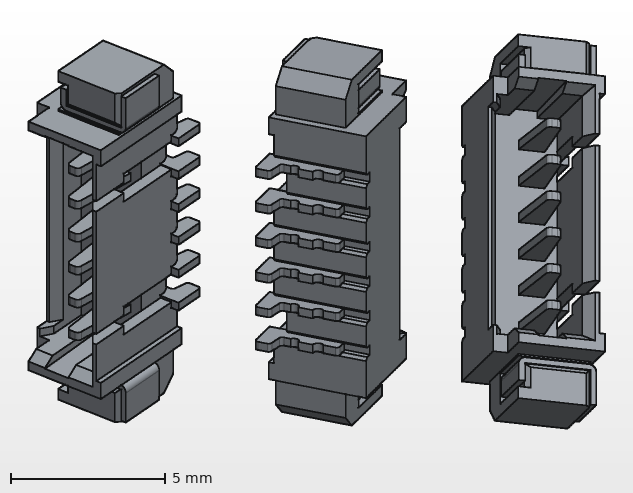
import cadquery as cq


body_width = 3.45
body_depth = 4.31
body_length = 9.44
body_half = body_length / 2
overall_half = 6.24
overall_width = 3.55
overall_depth = 5.21
end_block = 0.61
side_recess = 0.19

low_wall = 0.37
low_wall_rim = 0.117
high_wall_inner = 2.82
cavity_half = body_half - end_block
cavity_floor = 2.99
mouth_flare_depth = 0.41
mouth_flare_ends = 0.27
mouth_flare_side = 0.3
end_wall_start = 0.5
ledge_depth = 1.11
low_wall_depth = 1.62
low_wall_half = 3.82

channel_left = 1.17
channel_right = 2.13
channel_half_mouth = 4.41
channel_half_floor = 4.34

window_offset = 2.52
slot_length = 0.4
window_length = 1.06
window_start = 1.47

pin_count = 6
pin_pitch = 1.25
pin_thickness = 0.3
pin_tip = 0.52
pin_base_left = 1.5
pin_base_right = 2.38
pin_tip_left = 1.67
pin_tip_right = 2.13
pin_tip_round = 0.15

groove_width = 0.34
groove_floor = 4.02
groove_flare = 0.1

tail_left = 0.86
tail_step = 4.58
tail_pad = 4.69
tail_valley = 4.5
tail_foot_left = 2.99
tail_foot_lean = 0.07
tail_pad_left = 1.72
tail_pad_right = 2.23
tail_valley_offset = 0.16
tail_valley_width = 0.32
tail_round = 0.11

tab_left = 0.86
tab_right = 3.34
tab_height = overall_half - body_half
tab_front = ledge_depth
tab_rear = 4.02
tab_chamfer = 0.5
tab_lead_in = 0.16

clip_left = 0.9
clip_thickness = 0.19
clip_front = 1.2
clip_rear = 2.98
clip_base = 0.06
clip_round = 0.24
clip_left_height = 0.86
clip_right_height = 1.43
slot_height = 1.11
core_left = 1.12
core_base = clip_base + clip_thickness


def box(x0, x1, y0, y1, z0, z1):
    return cq.Workplane("XY").box(x1 - x0, y1 - y0, z1 - z0, centered=False).translate((x0, y0, z0))


def prism_z(points, z0, z1):
    return cq.Workplane("XY", origin=(0, 0, z0)).polyline(points).close().extrude(z1 - z0)


def prism_x(points, x0, x1):
    return cq.Workplane("YZ", origin=(x0, 0, 0)).polyline(points).close().extrude(x1 - x0)


def mirrored(shape):
    return shape.union(shape.mirror("XY"))


def mouth_flare():
    mouth_right = high_wall_inner + mouth_flare_side
    mouth_half = cavity_half + mouth_flare_ends
    mouth = cq.Workplane("XZ").moveTo(mouth_right / 2, 0).rect(mouth_right, 2 * mouth_half)
    inner = mouth.workplane(offset=-mouth_flare_depth).moveTo(high_wall_inner / 2, 0)
    return inner.rect(high_wall_inner, 2 * cavity_half).loft(ruled=True)


def low_wall_lead_in(wall_depth, half_length):
    wedge = [
        (low_wall_rim, wall_depth),
        (low_wall, wall_depth),
        (low_wall, wall_depth + mouth_flare_depth),
    ]
    return prism_z(wedge, -half_length, half_length)


def housing():
    body = box(0, body_width, 0, body_depth, -body_half, body_half)
    recess_x = body_width - side_recess
    body = body.cut(box(recess_x, body_width, 0, body_depth, -cavity_half, cavity_half))

    body = body.cut(box(low_wall, high_wall_inner, 0, cavity_floor, -cavity_half, cavity_half))
    body = body.cut(mouth_flare())
    body = body.cut(box(0, end_wall_start, 0, ledge_depth, -body_half, body_half))
    body = body.cut(box(0, low_wall, 0, low_wall_depth, -low_wall_half, low_wall_half))
    body = body.cut(low_wall_lead_in(ledge_depth, cavity_half))
    body = body.cut(low_wall_lead_in(low_wall_depth, low_wall_half))

    channels = [
        (0, -channel_half_mouth),
        (0, channel_half_mouth),
        (cavity_floor, channel_half_floor),
        (cavity_floor, -channel_half_floor),
    ]
    body = body.cut(prism_x(channels, channel_left, channel_right))

    for centre in (-window_offset, window_offset):
        slot = slot_length / 2
        window = window_length / 2
        body = body.cut(box(high_wall_inner, body_width, 0, cavity_floor, centre - slot, centre + slot))
        body = body.cut(
            box(high_wall_inner, body_width, window_start, body_depth, centre - window, centre + window)
        )
    return body


def groove():
    half = groove_width / 2
    flare_start = body_depth - groove_flare
    outline = [
        (groove_floor, -half),
        (flare_start, -half),
        (body_depth, -half - groove_flare),
        (body_depth, half + groove_flare),
        (flare_start, half),
        (groove_floor, half),
    ]
    return prism_x(outline, 0, body_width)


def contact():
    z0 = -pin_thickness / 2
    z1 = pin_thickness / 2
    blade = prism_z(
        [
            (pin_base_left, cavity_floor),
            (pin_tip_left, pin_tip),
            (pin_tip_right, pin_tip),
            (pin_base_right, cavity_floor),
        ],
        z0, z1,
    )
    blade = blade.edges("|Z").edges("<Y").fillet(pin_tip_round)
    shank = box(pin_base_left, pin_base_right, cavity_floor, groove_floor, z0, z1)
    return blade.union(shank).union(solder_tail(z0))


def solder_tail(z0):
    foot_root = tail_foot_left - tail_foot_lean
    tail = (
        cq.Workplane("XY", origin=(0, 0, z0))
        .moveTo(tail_left + tail_round, groove_floor)
        .lineTo(overall_width, groove_floor)
        .lineTo(overall_width, overall_depth - tail_round)
        .radiusArc((overall_width - tail_round, overall_depth), -tail_round)
        .lineTo(tail_foot_left + tail_round, overall_depth)
        .radiusArc((tail_foot_left, overall_depth - tail_round), -tail_round)
        .lineTo(foot_root, tail_step + tail_round)
        .radiusArc((foot_root - tail_round, tail_step), tail_round)
        .lineTo(tail_pad_right + tail_valley_width, tail_step)
        .threePointArc((tail_pad_right + tail_valley_offset, tail_valley), (tail_pad_right, tail_pad))
        .lineTo(tail_pad_left, tail_pad)
        .threePointArc(
            (tail_pad_left - tail_valley_offset, tail_valley),
            (tail_pad_left - tail_valley_width, tail_step),
        )
        .lineTo(tail_left + tail_round, tail_step)
        .radiusArc((tail_left, tail_step - tail_round), -tail_round)
        .lineTo(tail_left, groove_floor + tail_round)
        .radiusArc((tail_left + tail_round, groove_floor), -tail_round)
        .close()
        .extrude(pin_thickness)
    )
    return tail


def tab():
    top = tab_height
    outline = [
        (tab_front, 0),
        (tab_front, top),
        (tab_rear - tab_chamfer, top),
        (tab_rear, top - tab_chamfer),
        (tab_rear, 0),
    ]
    block = prism_x(outline, tab_left, tab_right)
    block = block.cut(box(tab_left, tab_right, tab_front, clip_rear, clip_base, core_base))
    block = block.cut(box(tab_left, core_left, tab_front, clip_rear, clip_base, slot_height))

    lead_end = tab_front + tab_lead_in
    left = [(core_left, tab_front), (core_left + tab_lead_in, tab_front), (core_left, lead_end)]
    right = [(tab_right, tab_front), (tab_right - tab_lead_in, tab_front), (tab_right, lead_end)]
    base = [(tab_front, core_base), (tab_front, core_base + tab_lead_in), (lead_end, core_base)]
    block = block.cut(prism_z(left, clip_base, slot_height))
    block = block.cut(prism_z(right, clip_base, top))
    return block.cut(prism_x(base, core_left, tab_right))


def clip():
    long_arm = overall_width - clip_thickness
    outline = [
        (clip_left, clip_left_height),
        (clip_left, clip_base),
        (overall_width, clip_base),
        (overall_width, clip_right_height),
        (long_arm, clip_right_height),
        (long_arm, core_base),
        (core_left, core_base),
        (core_left, clip_left_height),
    ]
    strip = cq.Workplane("XZ", origin=(0, clip_rear, 0)).polyline(outline).close()
    strip = strip.extrude(clip_rear - clip_front)
    return strip.edges("|Y and <Z").fillet(clip_round)


result = housing()

first_pin = -pin_pitch * (pin_count - 1) / 2
for index in range(pin_count):
    z = first_pin + index * pin_pitch
    result = result.cut(groove().translate((0, 0, z)))
    result = result.union(contact().translate((0, 0, z)))

mount = tab().union(clip()).translate((0, 0, body_half))
result = result.union(mirrored(mount))